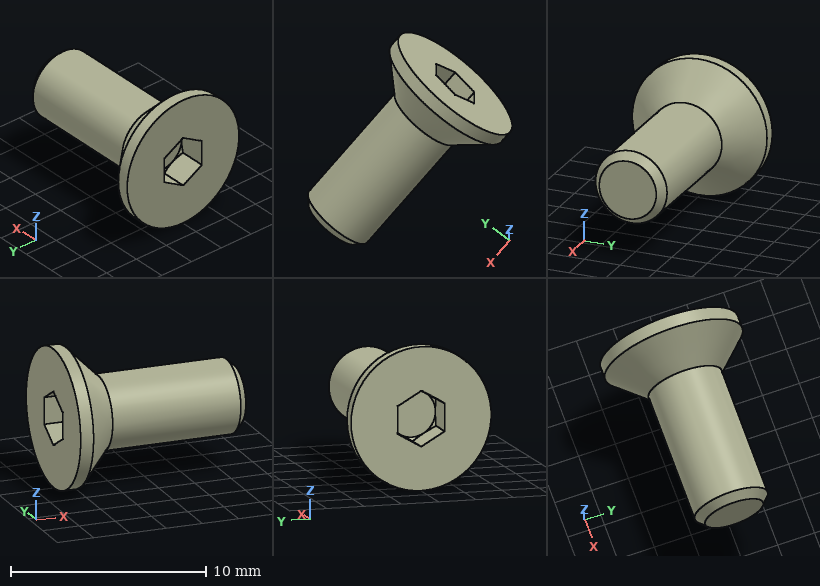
import cadquery as cq
import math

length = 10.0
head_diameter = 7.53
shank_diameter = 4.0
rim_thickness = 0.71
tip_chamfer_length = 0.45
tip_chamfer_depth = 0.41
socket_across_flats = 2.52
socket_corner_depth = 1.5
socket_taper_angle = 120.0

head_radius = head_diameter / 2
shank_radius = shank_diameter / 2
cone_length = head_radius - shank_radius
head_height = rim_thickness + cone_length
socket_corner_radius = socket_across_flats / math.sqrt(3)

socket_floor_radius = socket_across_flats / 2
corner_width = socket_corner_radius - socket_floor_radius
socket_depth = socket_corner_depth + corner_width / math.tan(math.radians(socket_taper_angle / 2))


def make_body():
    """Head, shank and chamfered tip, revolved about the X axis."""
    return (
        cq.Workplane("XY")
        .moveTo(0, 0)
        .lineTo(0, head_radius)
        .lineTo(rim_thickness, head_radius)
        .lineTo(head_height, shank_radius)
        .lineTo(length - tip_chamfer_length, shank_radius)
        .lineTo(length, shank_radius - tip_chamfer_depth)
        .lineTo(length, 0)
        .close()
        .revolve(360, (0, 0, 0), (1, 0, 0))
    )


def make_socket():
    """Hexagonal recess with corners at +Z and -Z and a flat round floor."""
    corner_angles = [math.radians(60 * i) for i in range(6)]
    corners = [
        (socket_corner_radius * math.sin(angle), socket_corner_radius * math.cos(angle))
        for angle in corner_angles
    ]
    hexagon = cq.Workplane("YZ").polyline(corners).close().extrude(socket_depth)
    tapered_envelope = (
        cq.Workplane("XY")
        .moveTo(0, 0)
        .lineTo(0, socket_corner_radius)
        .lineTo(socket_corner_depth, socket_corner_radius)
        .lineTo(socket_depth, socket_floor_radius)
        .lineTo(socket_depth, 0)
        .close()
        .revolve(360, (0, 0, 0), (1, 0, 0))
    )
    return hexagon.intersect(tapered_envelope)


result = make_body().cut(make_socket())